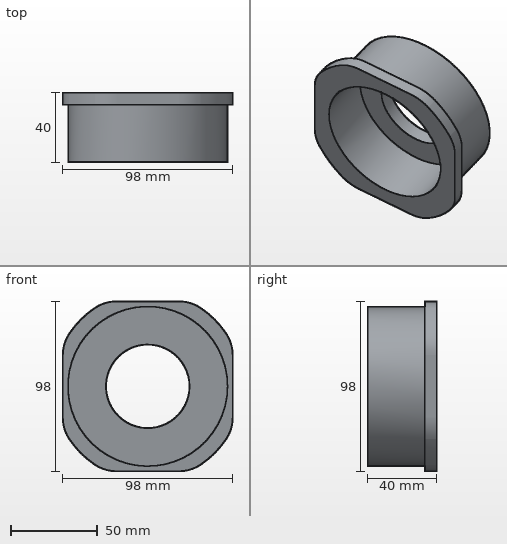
import cadquery as cq

total_length = 40.0
flange_thickness = 7.0
flange_width = 98.0
flange_corner_radius = 54.5
flange_blend_radius = 22.0
barrel_diameter = 92.0
lip_bore_diameter = 48.0
lip_depth = 8.5
main_bore_diameter = 78.0

flange_front_y = 0.0
front_y = flange_front_y - (total_length - flange_thickness)


def cylinder_along_y(diameter, start_y, length):
    """Solid cylinder on the Y axis, running from start_y toward +Y."""
    plane = cq.Workplane("XZ", origin=(0, start_y, 0))
    return plane.circle(diameter / 2).extrude(-length)


def flange():
    """Square plate whose corners are rounded by arcs about the axis and blended."""
    square = (
        cq.Workplane("XZ", origin=(0, flange_front_y, 0))
        .rect(flange_width, flange_width)
        .extrude(-flange_thickness)
    )
    disc = cylinder_along_y(2 * flange_corner_radius, flange_front_y, flange_thickness)
    return square.intersect(disc).edges("|Y").fillet(flange_blend_radius)


def barrel():
    """Round body in front of the flange."""
    return cylinder_along_y(barrel_diameter, front_y, flange_front_y - front_y)


def stepped_bore():
    """Through bore: a narrow lip at the front, then the wider main bore."""
    lip = cylinder_along_y(lip_bore_diameter, front_y, lip_depth)
    main = cylinder_along_y(main_bore_diameter, front_y + lip_depth, total_length - lip_depth)
    return lip.union(main)


result = flange().union(barrel()).cut(stepped_bore())